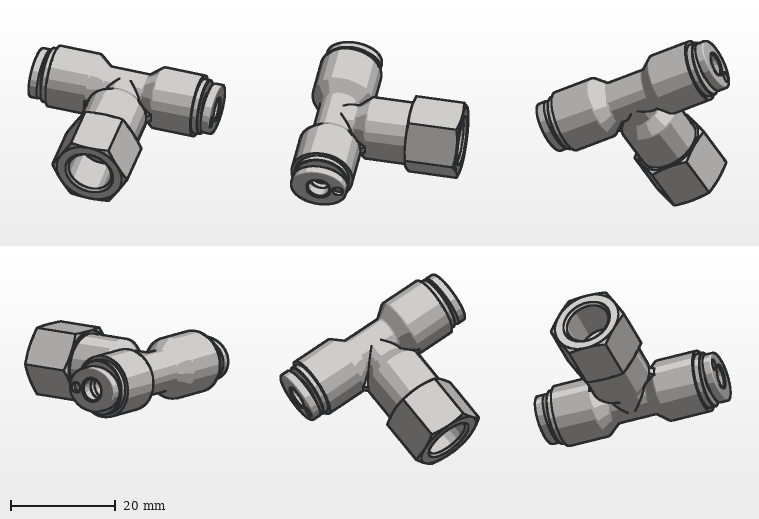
import cadquery as cq
import math

OVERALL_LENGTH = 36.2
OVERALL_DEPTH = 30.45

SHELL_RADIUS = 11.9 / 2
WAIST_RADIUS = 4.02
SHELL_END = 14.48
CONE_INNER = 4.0
CONE_OUTER = 6.45
CONE_BLEND = 0.5
WEB_THICKNESS = 1.55
WEB_REACH = 6.7
SOCKET_DIAMETER = 4.15
SOCKET_FLOOR = 5.8
RUN_BORE = 3.2
BRANCH_BORE = 3.0

RING_DIAMETER = 10.6
RING_END = 15.7
RING_CHAMFER = 0.1

SLEEVE_END = OVERALL_LENGTH / 2
FLANGE_WIDTH = 10.8
FLANGE_HEIGHT = 8.58
FLANGE_THICKNESS = 1.7
FLANGE_ROUND = 0.25
NECK_DIAMETER = 5.5
SLEEVE_BORE = 4.2
SLEEVE_BORE_CHAMFER = 0.25
DIMPLE_DIAMETER = 2.0
DIMPLE_OFFSET = 3.8
DIMPLE_DEPTH = 0.9

HEX_ACROSS_FLATS = 13.0
HEX_ACROSS_CORNERS = HEX_ACROSS_FLATS / math.cos(math.pi / 6)
NUT_LENGTH = OVERALL_DEPTH - SHELL_RADIUS - SHELL_END
HEX_CHAMFER_ANGLE = math.radians(20)
NUT_BORE = 8.5
NUT_BORE_DEPTH = 7.95
NUT_BORE_CHAMFER = 0.5


def along_x(diameter, start, end):
    """Cylinder about the X axis between two X positions."""
    return cq.Workplane("YZ", origin=(start, 0, 0)).circle(diameter / 2).extrude(end - start)


def along_minus_y(diameter, start, end):
    """Cylinder about the Y axis between two distances along -Y."""
    return cq.Workplane("XZ", origin=(0, -start, 0)).circle(diameter / 2).extrude(end - start)


def make_arm():
    """Arm along +X: waist, cone and barrel, with both cone edges rounded."""
    arm = (
        cq.Workplane("XY")
        .moveTo(0, 0)
        .lineTo(0, WAIST_RADIUS)
        .lineTo(CONE_INNER, WAIST_RADIUS)
        .lineTo(CONE_OUTER, SHELL_RADIUS)
        .lineTo(SHELL_END, SHELL_RADIUS)
        .lineTo(SHELL_END, 0)
        .close()
        .revolve(360, (0, 0, 0), (1, 0, 0))
    )
    cone_edges = cq.selectors.BoxSelector(
        (CONE_INNER / 2, -SHELL_RADIUS, -SHELL_RADIUS),
        (SHELL_END / 2, SHELL_RADIUS, SHELL_RADIUS),
    )
    return arm.edges("%CIRCLE").edges(cone_edges).fillet(CONE_BLEND)


def make_web():
    """Flat plate with the two corners between run and branch cut off at 45 degrees."""
    return (
        cq.Workplane("XY")
        .moveTo(-WEB_REACH, 0)
        .lineTo(-WEB_REACH, -SHELL_RADIUS)
        .lineTo(-SHELL_RADIUS, -WEB_REACH)
        .lineTo(SHELL_RADIUS, -WEB_REACH)
        .lineTo(WEB_REACH, -SHELL_RADIUS)
        .lineTo(WEB_REACH, 0)
        .close()
        .extrude(WEB_THICKNESS / 2, both=True)
    )


def make_housing():
    arm = make_arm()
    housing = make_web()
    for angle in (0, 180, -90):
        housing = housing.union(arm.rotate((0, 0, 0), (0, 0, 1), angle))
    housing = housing.cut(along_x(RUN_BORE, -SHELL_END, SHELL_END))
    housing = housing.cut(along_minus_y(BRANCH_BORE, 0, SHELL_END))
    for side in (-1, 1):
        housing = housing.cut(along_x(SOCKET_DIAMETER, side * SOCKET_FLOOR, side * SHELL_END))
    return housing


def make_ring():
    ring = along_x(RING_DIAMETER, -RING_END, -SHELL_END).faces("<X").chamfer(RING_CHAMFER)
    return ring.cut(along_x(SOCKET_DIAMETER, -RING_END, -SHELL_END))


def make_sleeve():
    flange = (
        cq.Workplane("YZ", origin=(-SLEEVE_END, 0, 0))
        .ellipse(FLANGE_WIDTH / 2, FLANGE_HEIGHT / 2)
        .extrude(FLANGE_THICKNESS)
        .faces("<X")
        .edges()
        .fillet(FLANGE_ROUND)
    )
    neck = along_x(NECK_DIAMETER, FLANGE_THICKNESS - SLEEVE_END, -RING_END)
    bore = along_x(SLEEVE_BORE, -SLEEVE_END, -RING_END)
    dimple = along_x(DIMPLE_DIAMETER, -SLEEVE_END, DIMPLE_DEPTH - SLEEVE_END)
    dimple = dimple.translate((0, -DIMPLE_OFFSET, 0))
    sleeve = flange.union(neck).cut(bore)
    rim = cq.selectors.RadiusNthSelector(0)
    sleeve = sleeve.faces("<X").edges("%CIRCLE").edges(rim).chamfer(SLEEVE_BORE_CHAMFER)
    return sleeve.cut(dimple)


def make_nut():
    prism = (
        cq.Workplane("XZ", origin=(0, -SHELL_END, 0))
        .polygon(6, HEX_ACROSS_CORNERS)
        .extrude(NUT_LENGTH)
    )
    flat_radius = HEX_ACROSS_FLATS / 2
    corner_radius = HEX_ACROSS_CORNERS / 2
    corner_drop = (corner_radius - flat_radius) * math.tan(HEX_CHAMFER_ANGLE)
    tip = SHELL_END + NUT_LENGTH
    envelope = (
        cq.Workplane("XY")
        .moveTo(0, -SHELL_END)
        .lineTo(flat_radius, -SHELL_END)
        .lineTo(corner_radius, -SHELL_END - corner_drop)
        .lineTo(corner_radius, -tip + corner_drop)
        .lineTo(flat_radius, -tip)
        .lineTo(0, -tip)
        .close()
        .revolve(360, (0, 0, 0), (0, 1, 0))
    )
    socket = along_minus_y(NUT_BORE, tip - NUT_BORE_DEPTH, tip)
    passage = along_minus_y(BRANCH_BORE, SHELL_END, tip)
    nut = prism.intersect(envelope).cut(socket)
    rim = cq.selectors.RadiusNthSelector(0)
    nut = nut.faces("<Y").edges("%CIRCLE").edges(rim).chamfer(NUT_BORE_CHAMFER)
    return nut.cut(passage)


housing = make_housing()
nut = make_nut()

rings = []
sleeves = []
for mirrored in (False, True):
    ring = make_ring()
    sleeve = make_sleeve()
    rings.append(ring.mirror("YZ") if mirrored else ring)
    sleeves.append(sleeve.mirror("YZ") if mirrored else sleeve)

bodies = [housing, nut, *rings, *sleeves]
result = cq.Compound.makeCompound([body.val() for body in bodies])